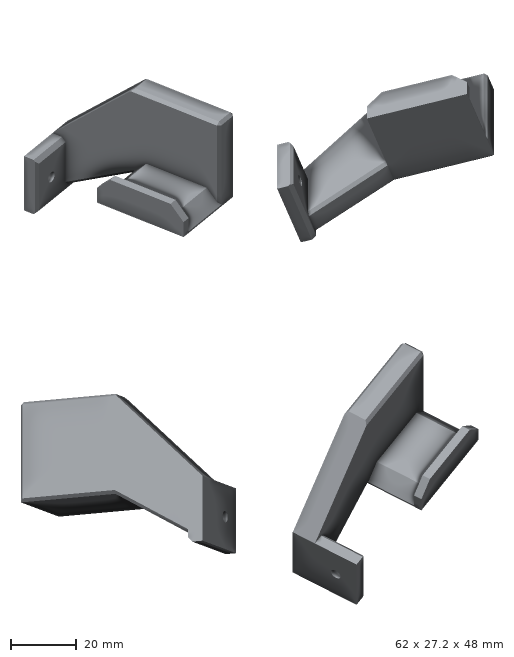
import cadquery as cq

length = 62.0
depth = 27.15
height = 48.0
edge_chamfer = 1.0

plate_thickness = 8.0

flange_thickness = 4.9
flange_end_chamfer = 1.35
flange_front_chamfer = 0.85
flange_height = 20.0
flange_depth = 23.0
hole_diameter = 3.5

shelf_start = 30.0
shelf_bottom = 17.1
shelf_thickness = 5.45
lip_height = 10.35
lip_thickness = 2.65
corner_cut = 4.85


def make_plate():
    """Six-sided plate, bevelled front and back except along its left end and upper slope,
    and across its upper right corner."""
    outline = [
        (0, 0),
        (shelf_start, shelf_bottom),
        (length, shelf_bottom),
        (length, height),
        (shelf_start, height),
        (0, flange_height),
    ]
    plate = cq.Workplane("XZ", origin=(0, depth, 0)).polyline(outline).close().extrude(plate_thickness)
    top_edges = plate.faces(">Z").edges("not <X")
    end_edges = plate.faces(">X").edges("|Z")
    shelf_edges = plate.faces("-Z").edges("|X")
    slope_edges = plate.faces("<Z").edges("not |Y")
    bevelled_edges = top_edges.add(end_edges).add(shelf_edges).add(slope_edges)
    return bevelled_edges.chamfer(edge_chamfer)


def make_flange():
    """End flange with bevels around its inner face and a through hole."""
    flange = cq.Workplane("XY").box(flange_thickness, flange_depth, flange_height, centered=False)
    flange = flange.translate((0, depth - flange_depth, 0))
    flange = flange.faces(">X").edges("|Y").chamfer(flange_end_chamfer)
    flange = flange.edges("<Y and |Z and >X").chamfer(flange_front_chamfer)
    hole_y = depth - (flange_depth + plate_thickness) / 2
    hole = (
        cq.Workplane("YZ")
        .center(hole_y, flange_height / 2)
        .circle(hole_diameter / 2)
        .extrude(flange_thickness)
    )
    return flange.cut(hole)


def make_cut_corner_block(block_height, block_depth):
    """Block from y = 0 backwards, with its two upper end corners cut off at 45 degrees."""
    block = cq.Workplane("XY").box(length - shelf_start, block_depth, block_height, centered=False)
    block = block.translate((shelf_start, 0, shelf_bottom))
    return block.edges("|Y and >Z").chamfer(corner_cut)


shelf = make_cut_corner_block(shelf_thickness, depth - plate_thickness / 2)
lip = make_cut_corner_block(lip_height, lip_thickness)

result = make_plate().union(make_flange()).union(shelf).union(lip)